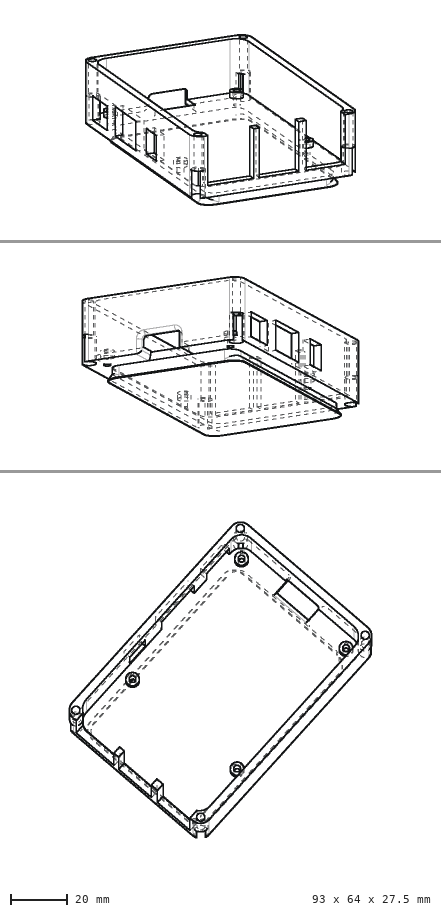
import cadquery as cq

LENGTH = 93.0
WIDTH = 64.0
HEIGHT = 27.5
FOOT_HEIGHT = 4.6
BODY_HEIGHT = HEIGHT - FOOT_HEIGHT
BODY_CORNER_RADIUS = 4.0
WALL = 3.0
CAVITY_CORNER_RADIUS = 5.0
FLOOR_TOP = FOOT_HEIGHT + WALL
CAVITY_LENGTH = LENGTH - 2 * WALL
CAVITY_WIDTH = WIDTH - 2 * WALL

FOOT_LENGTH = 80.1
FOOT_START_X = -37.0
FOOT_NECK_WIDTH = 50.3
FOOT_BASE_WIDTH = 54.5
FOOT_NECK_HEIGHT = 1.95
FOOT_FLARE_SLOPE = (FOOT_BASE_WIDTH - FOOT_NECK_WIDTH) / 2 / (FOOT_HEIGHT - FOOT_NECK_HEIGHT)
FOOT_X_RANGE = (FOOT_START_X, FOOT_START_X + FOOT_LENGTH)
FOOT_CORNER_RADIUS = 4.3
FOOT_BASE_CHAMFER = 0.3

SCREW_HOLE_DIAMETER = 2.9
SCREW_INSET = 2.8
COUNTERBORE_DIAMETER = 5.0
COUNTERBORE_TOP = 14.6

STANDOFF_DIAMETER = 4.8
STANDOFF_HOLE_DIAMETER = 2.4
STANDOFF_HEIGHT = 2.2
STANDOFF_XS = (-39.0, 19.0)
STANDOFF_Y = 24.5

CARD_SLOT_WIDTH = 15.1
CARD_SLOT_TOP = 11.6
CARD_SLOT_EDGE_RADIUS = WALL / 2

SILL_TOP = 9.0
PORT_WINDOWS = (
    (-37.7, -25.7, FLOOR_TOP, 16.6),
    (-19.0, -1.8, FLOOR_TOP, 18.5),
    (7.0, 15.2, SILL_TOP, 18.5),
)

PORT_GAPS = ((-26.6, -8.9), (-6.7, 8.6), (11.4, 26.6))
GAP_START_X = CAVITY_LENGTH / 2 - CAVITY_CORNER_RADIUS


def box_between(x_range, y_range, z_range):
    """Axis-aligned box given by its limits on each axis."""
    sizes = [high - low for low, high in (x_range, y_range, z_range)]
    corner = (x_range[0], y_range[0], z_range[0])
    return cq.Workplane("XY").box(*sizes, centered=False).translate(corner)


def make_shell():
    """Rounded box with a rounded cavity open at the top."""
    outer = (
        cq.Workplane("XY", origin=(0, 0, FOOT_HEIGHT))
        .rect(LENGTH, WIDTH)
        .extrude(BODY_HEIGHT)
        .edges("|Z")
        .fillet(BODY_CORNER_RADIUS)
    )
    cavity = (
        cq.Workplane("XY", origin=(0, 0, FLOOR_TOP))
        .rect(CAVITY_LENGTH, CAVITY_WIDTH)
        .extrude(BODY_HEIGHT)
        .edges("|Z")
        .fillet(CAVITY_CORNER_RADIUS)
    )
    return outer.cut(cavity)


def make_foot():
    """Straight neck joined to a base that flares in Y, with all four end corners rounded."""
    neck = (
        box_between(FOOT_X_RANGE, (-FOOT_NECK_WIDTH / 2, FOOT_NECK_WIDTH / 2), (0, FOOT_HEIGHT))
        .edges("|Z")
        .fillet(FOOT_CORNER_RADIUS)
        .faces("<Z")
        .chamfer(FOOT_BASE_CHAMFER)
    )
    top_width = FOOT_BASE_WIDTH - 2 * FOOT_HEIGHT * FOOT_FLARE_SLOPE
    flare_profile = [
        (-FOOT_BASE_WIDTH / 2, 0),
        (FOOT_BASE_WIDTH / 2, 0),
        (top_width / 2, FOOT_HEIGHT),
        (-top_width / 2, FOOT_HEIGHT),
    ]
    flare = (
        cq.Workplane("YZ", origin=(FOOT_START_X, 0, 0))
        .polyline(flare_profile)
        .close()
        .extrude(FOOT_LENGTH)
        .edges("(<X or >X) and (not |Y)")
        .fillet(FOOT_CORNER_RADIUS)
        .faces("<Z")
        .chamfer(FOOT_BASE_CHAMFER)
    )
    return flare.union(neck)


def cut_card_slot(shell):
    """Open the -X wall and the floor below it, then round the rim of the opening."""
    half_width = CARD_SLOT_WIDTH / 2
    opening = (
        box_between(
            (-LENGTH / 2, FOOT_START_X),
            (-half_width, half_width),
            (FOOT_HEIGHT, CARD_SLOT_TOP),
        )
        .edges("|X and >Z")
        .fillet(CARD_SLOT_EDGE_RADIUS)
    )
    reach = 0.1
    outer_face_rim = cq.selectors.BoxSelector(
        (-LENGTH / 2 - reach, -half_width - reach, FOOT_HEIGHT + reach),
        (-LENGTH / 2 + reach, half_width + reach, CARD_SLOT_TOP + reach),
    )
    underside_rim = cq.selectors.BoxSelector(
        (-LENGTH / 2 + reach, -half_width - reach, FOOT_HEIGHT - reach),
        (FOOT_START_X - reach, half_width + reach, FOOT_HEIGHT + reach),
    )
    body = shell.cut(opening).edges(outer_face_rim + underside_rim).fillet(CARD_SLOT_EDGE_RADIUS)
    nose_length = CARD_SLOT_WIDTH + 2 * CARD_SLOT_EDGE_RADIUS
    nose = (
        cq.Workplane("XZ", origin=(FOOT_START_X, nose_length / 2, FOOT_HEIGHT + CARD_SLOT_EDGE_RADIUS))
        .circle(CARD_SLOT_EDGE_RADIUS)
        .extrude(nose_length)
    )
    return body.union(nose)


def cut_port_openings(body):
    for left, right, bottom, top in PORT_WINDOWS:
        body = body.cut(box_between((left, right), (-WIDTH / 2, -CAVITY_WIDTH / 2), (bottom, top)))
    for low, high in PORT_GAPS:
        body = body.cut(box_between((GAP_START_X, LENGTH / 2), (low, high), (SILL_TOP, HEIGHT)))
    return body


def vertical_cylinders(centers, diameter, bottom, top):
    """One upright cylinder at each (X, Y) center."""
    return (
        cq.Workplane("XY", origin=(0, 0, bottom))
        .pushPoints(centers)
        .circle(diameter / 2)
        .extrude(top - bottom)
    )


def cut_corner_screws(body):
    hole_x = LENGTH / 2 - SCREW_INSET
    hole_y = WIDTH / 2 - SCREW_INSET
    centers = [(x, y) for x in (-hole_x, hole_x) for y in (-hole_y, hole_y)]
    holes = vertical_cylinders(centers, SCREW_HOLE_DIAMETER, FOOT_HEIGHT, HEIGHT)
    counterbores = vertical_cylinders(centers, COUNTERBORE_DIAMETER, FOOT_HEIGHT, COUNTERBORE_TOP)
    return body.cut(holes).cut(counterbores)


def add_standoffs(body):
    centers = [(x, y) for x in STANDOFF_XS for y in (-STANDOFF_Y, STANDOFF_Y)]
    standoff_top = FLOOR_TOP + STANDOFF_HEIGHT
    posts = vertical_cylinders(centers, STANDOFF_DIAMETER, FLOOR_TOP, standoff_top)
    holes = vertical_cylinders(centers, STANDOFF_HOLE_DIAMETER, FOOT_HEIGHT, standoff_top)
    return body.union(posts).cut(holes)


body = cut_card_slot(make_shell())
body = cut_port_openings(body)
body = cut_corner_screws(body)
body = add_standoffs(body)
result = body.union(make_foot())